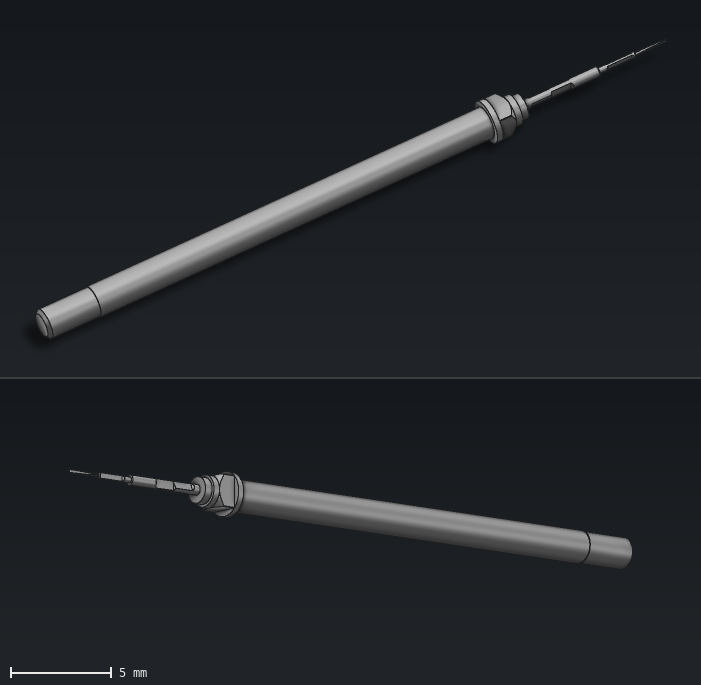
import cadquery as cq

total_length = 35.8

tube_diameter = 1.7
sleeve_diameter = 1.6
sleeve_length = 2.95
end_chamfer = 0.18

flange_diameter = 2.3
flange_start = 25.5
flange_thickness = 0.32
square_width = 1.65
head_chamfer_start = 26.5
head_chamfer_end = 26.78
collar_end = 27.15
neck_diameter = 1.35
neck_end = 27.55

large_diameter = 0.55
large_end = 31.9
middle_diameter = 0.32
middle_end = 34.0
fine_diameter = 0.18

large_web = 0.25
tilted_web = 0.35
large_flats_start = 28.03
large_flats_bend = 29.18
large_flats_end = 30.3
tilt_angle = 20.0
middle_web = 0.15
middle_flats_start = 32.45
step_rim = 0.07
runout = 0.1
tip_web = 0.07


def y_cylinder(diameter, start, end):
    """Cylinder about the Y axis between two places along Y."""
    return (
        cq.Workplane("XZ", origin=(0, start, 0))
        .circle(diameter / 2)
        .extrude(start - end)
    )


def y_cone(start_diameter, end_diameter, start, end):
    """Cone frustum about the Y axis between two places along Y."""
    return cq.Workplane(
        cq.Solid.makeCone(
            start_diameter / 2,
            end_diameter / 2,
            end - start,
            pnt=cq.Vector(0, start, 0),
            dir=cq.Vector(0, 1, 0),
        )
    )


def make_handle():
    sleeve = y_cylinder(sleeve_diameter, 0, sleeve_length).faces("<Y").chamfer(end_chamfer)
    tube = y_cylinder(tube_diameter, sleeve_length, flange_start)
    return sleeve.union(tube)


def make_head():
    """Flange, square with cone-turned corners, round collar and neck."""
    flange_end = flange_start + flange_thickness
    square_length = head_chamfer_end - flange_end
    square = cq.Workplane("XY").box(square_width, square_length, square_width)
    square = square.translate((0, flange_end + square_length / 2, 0))
    turned = y_cylinder(flange_diameter, flange_end, head_chamfer_start)
    turned = turned.union(
        y_cone(flange_diameter, square_width, head_chamfer_start, head_chamfer_end)
    )
    return (
        y_cylinder(flange_diameter, flange_start, flange_end)
        .union(square.intersect(turned))
        .union(y_cylinder(square_width, head_chamfer_end, collar_end))
        .union(y_cylinder(neck_diameter, collar_end, neck_end))
    )


def opposed_flats(start, end, web, diameter, tilt=0.0):
    """Two cutters leaving a web about the YZ plane, with sloping ends, tilted about Y."""
    cut_depth = (diameter - web) / 2
    cutter = (
        cq.Workplane("XY")
        .polyline(
            [
                (web / 2 + cut_depth, start - runout),
                (web / 2, start),
                (web / 2, end),
                (web / 2 + cut_depth, end + runout),
            ]
        )
        .close()
        .extrude(diameter / 2, both=True)
    )
    return cutter.union(cutter.mirror("YZ")).rotate((0, 0, 0), (0, 1, 0), tilt)


def make_tip():
    """Fine round step whose two sides taper to a thin chisel edge."""
    taper = (
        cq.Workplane("XY")
        .polyline(
            [
                (-fine_diameter / 2, middle_end),
                (fine_diameter / 2, middle_end),
                (tip_web / 2, total_length),
                (-tip_web / 2, total_length),
            ]
        )
        .close()
        .extrude(fine_diameter, both=True)
    )
    return y_cylinder(fine_diameter, middle_end, total_length).intersect(taper)


def make_drill():
    large_step = y_cylinder(large_diameter, neck_end, large_end)
    large_step = large_step.cut(
        opposed_flats(large_flats_bend, large_flats_end, large_web, large_diameter)
    )
    large_step = large_step.cut(
        opposed_flats(large_flats_start, large_flats_bend, tilted_web, large_diameter, tilt_angle)
    )
    middle_flats_end = middle_end - step_rim - runout
    middle_step = y_cylinder(middle_diameter, large_end, middle_end).cut(
        opposed_flats(middle_flats_start, middle_flats_end, middle_web, middle_diameter)
    )
    return large_step.union(middle_step).union(make_tip())


result = make_handle().union(make_head()).union(make_drill())